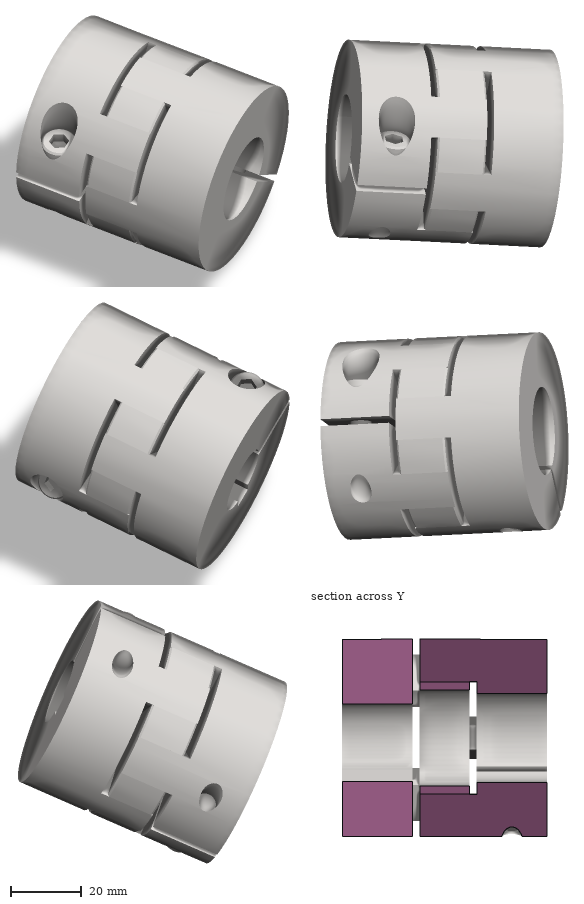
import cadquery as cq
import math

total_length = 58.0
outer_radius = 28.0
hub_length = 20.0
face_gap = 2.0

jaw_count = 4
jaw_inner_radius = 15.95
jaw_half_angle = 12.3
spider_hole_radius = 13.5
spider_chamfer = 0.5

keyed_bore_radius = 9.5
plain_bore_radius = 12.5
keyway_width = 6.0
keyway_depth = 12.3

slot_width = 2.0
screw_offset = 20.9
screw_diameter = 6.05
screw_length = 20.0
head_diameter = 10.0
head_height = 6.0
head_chamfer = 0.5
head_seat_z = 6.5
counterbore_diameter = 10.5
socket_across_flats = 5.0
socket_depth = 3.0

jaw_pitch = 360.0 / jaw_count
jaw_length = total_length - 2 * hub_length - face_gap
spider_start = hub_length + face_gap
spider_length = total_length - 2 * spider_start
gap_half_angle = jaw_pitch / 2 - jaw_half_angle
screw_x = hub_length / 2
rim_clearance = 5.8


def cylinder_along_x(radius, start, length):
    return cq.Workplane("YZ").workplane(offset=start).circle(radius).extrude(length)


def on_circle(radius, degrees):
    """Point in the YZ plane at the given angle from +Y towards +Z."""
    angle = math.radians(degrees)
    return radius * math.cos(angle), radius * math.sin(angle)


def ring_sector(middle, half_angle, start, length):
    """Cutter with radial sides, centred on the angle `middle`, from the jaw inside to past the rim."""
    outer = outer_radius + rim_clearance
    first = middle - half_angle
    last = middle + half_angle
    return (
        cq.Workplane("YZ")
        .workplane(offset=start)
        .moveTo(*on_circle(jaw_inner_radius, first))
        .lineTo(*on_circle(outer, first))
        .threePointArc(on_circle(outer, middle), on_circle(outer, last))
        .lineTo(*on_circle(jaw_inner_radius, last))
        .threePointArc(on_circle(jaw_inner_radius, middle), on_circle(jaw_inner_radius, first))
        .close()
        .extrude(length)
    )


def screw_cylinder(diameter, bottom, height):
    """Cylinder on the clamp screw axis, which is parallel to Z."""
    return (
        cq.Workplane("XY")
        .workplane(offset=bottom)
        .center(screw_x, -screw_offset)
        .circle(diameter / 2)
        .extrude(height)
    )


def clamp_screw():
    """Socket head screw with its head towards +Z."""
    head = screw_cylinder(head_diameter, head_seat_z, head_height)
    head = head.faces(">Z").edges().chamfer(head_chamfer)
    socket = (
        cq.Workplane("XY")
        .workplane(offset=head_seat_z + head_height)
        .center(screw_x, -screw_offset)
        .transformed(rotate=(0, 0, 90))
        .polygon(6, socket_across_flats / math.cos(math.pi / 6))
        .extrude(-socket_depth)
    )
    shank = screw_cylinder(screw_diameter, head_seat_z - screw_length, screw_length)
    return head.cut(socket).union(shank)


def clamp_hub(bore_radius):
    """Clamp hub slotted towards -Y, with its jaws pointing to +X; its screw is part of the hub."""
    hub = cylinder_along_x(outer_radius, 0, hub_length + jaw_length)
    hub = hub.cut(cylinder_along_x(jaw_inner_radius, hub_length, jaw_length))
    for index in range(jaw_count):
        hub = hub.cut(ring_sector(index * jaw_pitch, gap_half_angle, hub_length, jaw_length))
    hub = hub.cut(cylinder_along_x(bore_radius, 0, hub_length))

    slot = cq.Workplane("XY").box(hub_length, outer_radius, slot_width, centered=(False, False, True))
    hub = hub.cut(slot.translate((0, -outer_radius, 0)))

    hub = hub.cut(screw_cylinder(screw_diameter, -outer_radius, 2 * outer_radius))
    hub = hub.cut(screw_cylinder(counterbore_diameter, head_seat_z, outer_radius))
    return hub.union(clamp_screw())


def keyed_hub():
    """Hub at X = 0 with a keyway towards -Z."""
    keyway = cq.Workplane("XY").box(hub_length, keyway_width, keyway_depth, centered=(False, True, False))
    return clamp_hub(keyed_bore_radius).cut(keyway.translate((0, 0, -keyway_depth)))


def plain_hub():
    """Hub at the far end, turned to face the first one, its jaws in the first hub's gaps."""
    facing = clamp_hub(plain_bore_radius).rotate((0, 0, 0), (0, 0, 1), 180)
    indexed = facing.rotate((0, 0, 0), (1, 0, 0), -jaw_pitch / 2)
    return indexed.translate((total_length, 0, 0))


def jaw_spider():
    """Ring inside the jaws with one leg in each space between neighbouring jaws."""
    spider = cylinder_along_x(outer_radius, spider_start, spider_length)
    spider = spider.faces("<X or >X").edges().chamfer(spider_chamfer)
    spider = spider.cut(cylinder_along_x(spider_hole_radius, spider_start, spider_length))
    for index in range(2 * jaw_count):
        middle = index * jaw_pitch / 2
        spider = spider.cut(ring_sector(middle, jaw_half_angle, spider_start, spider_length))
    return spider



result = cq.Compound.makeCompound([keyed_hub().val(), jaw_spider().val(), plain_hub().val()])